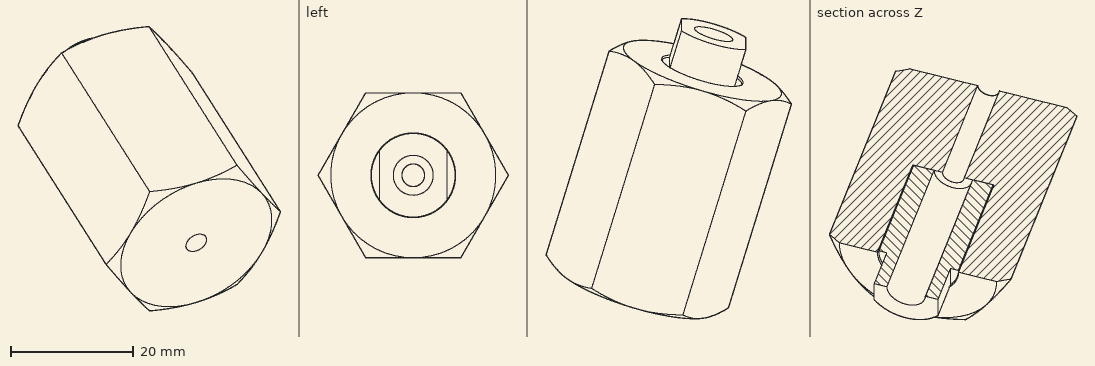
import cadquery as cq
import math

total_length = 44.75
across_flats = 27.0
stem_protrusion = 6.45
chamfer_angle = 30.0

stem_diameter = 13.7
stem_flat_width = 11.0
stem_flat_length = 6.8
stem_bore_diameter = 6.55

pocket_diameter = 13.9
pocket_depth = 19.15
outlet_diameter = 3.65

body_length = total_length - stem_protrusion
across_corners = across_flats / math.cos(math.radians(30))
face_radius = across_flats / 2
corner_radius = across_corners / 2
chamfer_length = (corner_radius - face_radius) * math.tan(math.radians(chamfer_angle))
stem_length = stem_protrusion + pocket_depth


def cylinder_along_x(start, length, diameter):
    return cq.Workplane("YZ").workplane(offset=start).circle(diameter / 2).extrude(length)


def chamfer_envelope():
    """Revolved blank whose conical ends trim the hexagon corners."""
    return (
        cq.Workplane("XY")
        .moveTo(stem_protrusion, 0)
        .lineTo(stem_protrusion, face_radius)
        .lineTo(stem_protrusion + chamfer_length, corner_radius)
        .lineTo(total_length - chamfer_length, corner_radius)
        .lineTo(total_length, face_radius)
        .lineTo(total_length, 0)
        .close()
        .revolve(360, (0, 0, 0), (1, 0, 0))
    )


def make_housing():
    hexagon = (
        cq.Workplane("YZ")
        .workplane(offset=stem_protrusion)
        .polygon(6, across_corners)
        .extrude(body_length)
    )
    pocket = cylinder_along_x(stem_protrusion, pocket_depth, pocket_diameter)
    outlet = cylinder_along_x(stem_protrusion, body_length, outlet_diameter)
    return hexagon.intersect(chamfer_envelope()).cut(pocket).cut(outlet)


def make_stem():
    shank = cylinder_along_x(stem_flat_length, stem_length - stem_flat_length, stem_diameter)
    flat_slab = cq.Workplane("XY").box(
        stem_flat_length, stem_flat_width, stem_diameter, centered=(False, True, True)
    )
    tip = cylinder_along_x(0, stem_flat_length, stem_diameter).intersect(flat_slab)
    bore = cylinder_along_x(0, stem_length, stem_bore_diameter)
    return shank.union(tip).cut(bore)


housing = make_housing()
stem = make_stem()

result = cq.Compound.makeCompound([housing.solids().val(), stem.solids().val()])